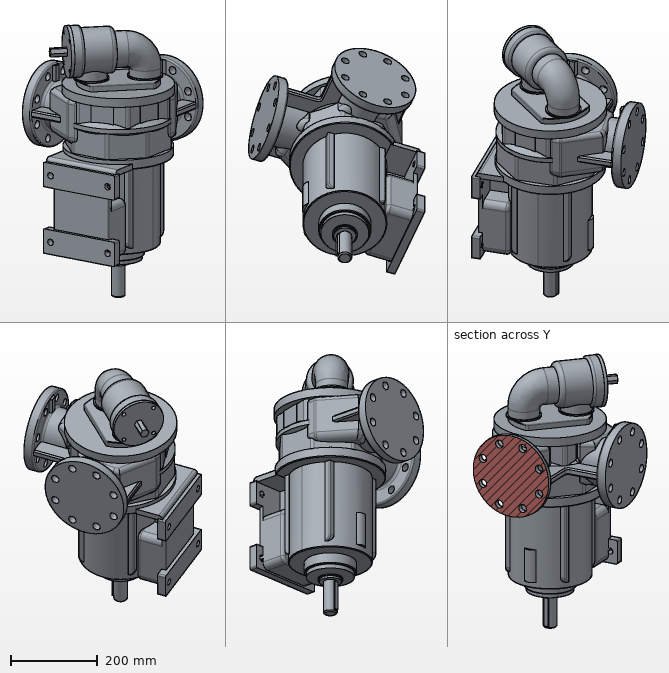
import cadquery as cq
import math


SHAFT_R = 16
SHAFT_END_Z = -431
SHAFT_CHAMFER = 3
KEY_WIDTH = 10
KEY_TOP_Y = 19.5
KEY_BOTTOM_Z = -425
KEY_LENGTH = 70
COLLAR_BOTTOM_Z = -351.5
COLLAR_R = 26
SLINGER_R = 29
SLINGER_BOTTOM_Z = -346.5
SLINGER_TOP_Z = -343.5
NECK_R = 21
GLAND_BOTTOM_Z = -340
GLAND_R = 55.5
HOUSING_BOTTOM_Z = -330
HOUSING_R = 60.5
HOUSING_CHAMFER = 2
BODY_BOTTOM_Z = -304
BODY_R = 97
BODY_CHAMFER = 2
BODY_TOP_Z = -91
RIB_FACE_X = 80
RIB_INNER_Y = 56
RIB_OUTER_Y = 71
RIB_BOTTOM_Z = -290
RIB_CORNER_R = 14
RIB_EDGE_R = 3
NAMEPLATE_R = 20
NAMEPLATE_FACE_Y = 103
NAMEPLATE_BOTTOM_Z = -289
NAMEPLATE_HEIGHT = 80

FOOT_LENGTH = 200
FOOT_HEIGHT = 59
FOOT_FACE_Y = -160
FOOT_BACK_Y = -140
FOOT_EDGE_R = 4
FOOT_CENTERS_Z = (-277, -117)
FOOT_HOLE_X = 80
FOOT_HOLE_D = 15
FOOT_WEB_WIDTH = 36
FOOT_WEB_FACE_Y = -151
BLOCK_WIDTH = 154
BLOCK_BACK_Y = -77
BLOCK_BOTTOM_Z = -302
BLOCK_TOP_Z = -166
BLOCK_EDGE_R = 16
BLOCK_BACK_R = 8
PANEL_EDGE_R = 2
SHELF_WIDTH = 194
SHELF_TOP_Z = -78
SHELF_THICKNESS = 13.5
SHELF_NOSE_R = 9.5

BASE_FLANGE_R = 128
BASE_FLANGE_TOP_Z = -68
BASE_FLANGE_CHAMFER = 2
CASING_CORNER_R = 126
CASING_EDGE_R = 12
LOWER_SIDES = 8
LOWER_TURN = 22.5
UPPER_SIDES = 6
UPPER_TURN = 15
UPPER_PAD_WIDTH = 55
UPPER_PAD_RISE = 2
RING_R = 126
RING_ROOT_R = 110
RING_HALF_RIM = 5.5
RING_HALF_ROOT = 16
COVER_R = 130
COVER_BOTTOM_Z = 60
COVER_TOP_Z = 81

NOZZLE_REACH = 200
FLANGE_R = 100
FLANGE_THICKNESS = 24
FLANGE_EDGE_R = 4
FLANGE_HOLES = 8
FLANGE_HOLE_D = 18.5
FLANGE_BOLT_CIRCLE_R = 80
PIPE_R = 58
PIPE_ROOT_R = 6
SELECT_MARGIN = 1
WEB_HALF_WIDTH = 97
WEB_THICKNESS = 17
WEB_CHAMFER = 3.5
WEB_CORNER_R = 8
LUG_BASE_WIDTH = 24
LUG_TIP_WIDTH = 12
LUG_DEPTH = 6
VOLUTE_MOUTH = (-150, -50)
VOLUTE_WALL_START = (-146, -65)
VOLUTE_WALL_END_X = -60
VOLUTE_NOSE_X = -34
VOLUTE_TANGENT_Y = -119
VOLUTE_BACK_X = -110
VOLUTE_BACK_MOUTH = (-140, 40)
VOLUTE_BOTTOM_Z = -50
VOLUTE_TOP_EDGE_R = 11
VOLUTE_BOTTOM_EDGE_R = 20
VOLUTE_CORNER_R = 8

VALVE_TURN = 45
VALVE_AXIS_Z = 162.3
SEAT_R = 97.5
SEAT_HALF_WIDTH = 63
SEAT_TOP_Z = 95
SEAT_CORNER_R = 8
SEAT_EDGE_R = 1.5
LEG_OFFSET = 63
LEG_R = 37
LEG_COLLAR_R = 41
LEG_COLLAR_HEIGHT = 3
ELBOW_BEND_R = 46
ELBOW_OUTLET_R = 42.5
BARREL_R = 54.5
BARREL_SHOULDER_R = 11.8
BARREL_START = -10
CAP_BACK = -88
CAP_FACE = -121
CAP_R = 61
CAP_EDGE_R = 6
CAP_PLATE_THICKNESS = 8
CAP_PLATE_STEP = 0.6
CAP_HOLE_D = 9
CAP_HOLE_DEPTH = 12
CAP_HOLE_SPACING = 73
STEM_SIDES = 6
STEM_END = -160
STEM_ACROSS_FLATS = 19


def disc(radius, bottom, top):
    """Vertical cylinder about Z between two heights."""
    return cq.Workplane("XY").workplane(offset=bottom).circle(radius).extrude(top - bottom)


def block(x_range, y_range, z_range):
    """Box between the given limits."""
    size = [high - low for low, high in (x_range, y_range, z_range)]
    corner = (x_range[0], y_range[0], z_range[0])
    return cq.Workplane("XY").box(*size, centered=False).translate(corner)


def rod(radius, start, end):
    """Cylinder on the valve axis between two positions along X."""
    plane = cq.Workplane("YZ", origin=(start, 0, VALVE_AXIS_Z))
    return plane.circle(radius).extrude(end - start)


def prism(sides, corner_r, turn, bottom, top):
    """Upright regular prism with rounded corners and its first corner at the given angle."""
    solid = cq.Workplane("XY").polygon(sides, 2 * corner_r).extrude(top - bottom)
    solid = solid.edges("|Z").fillet(CASING_EDGE_R)
    return solid.rotate((0, 0, 0), (0, 0, 1), turn).translate((0, 0, bottom))


def make_shaft_end():
    """Keyed shaft, slinger collar, gland and bearing housing."""
    shaft = disc(SHAFT_R, SHAFT_END_Z, BODY_BOTTOM_Z).faces("<Z").chamfer(SHAFT_CHAMFER)
    key = block(
        (-KEY_WIDTH / 2, KEY_WIDTH / 2),
        (0, KEY_TOP_Y),
        (KEY_BOTTOM_Z, KEY_BOTTOM_Z + KEY_LENGTH),
    )
    housing = disc(HOUSING_R, HOUSING_BOTTOM_Z, BODY_BOTTOM_Z).faces("<Z").chamfer(HOUSING_CHAMFER)
    return (
        shaft.union(key)
        .union(disc(COLLAR_R, COLLAR_BOTTOM_Z, SLINGER_BOTTOM_Z))
        .union(disc(SLINGER_R, SLINGER_BOTTOM_Z, SLINGER_TOP_Z))
        .union(disc(NECK_R, SLINGER_TOP_Z, GLAND_BOTTOM_Z))
        .union(disc(GLAND_R, GLAND_BOTTOM_Z, HOUSING_BOTTOM_Z))
        .union(housing)
    )


def make_body():
    """Round body with four upright ribs and a rounded nameplate boss."""
    body = disc(BODY_R, BODY_BOTTOM_Z, BODY_TOP_Z).faces("<Z").chamfer(BODY_CHAMFER)
    for side in (-1, 1):
        rib_y = sorted((side * RIB_INNER_Y, side * RIB_OUTER_Y))
        rib = block((-RIB_FACE_X, RIB_FACE_X), rib_y, (RIB_BOTTOM_Z, BODY_TOP_Z))
        outer_edge = "<Y" if side < 0 else ">Y"
        rib = rib.faces("<Z").edges(outer_edge).fillet(RIB_CORNER_R)
        rib = rib.edges("|Z").edges(outer_edge).fillet(RIB_EDGE_R)
        body = body.union(rib)
    nameplate = disc(NAMEPLATE_R, NAMEPLATE_BOTTOM_Z, NAMEPLATE_BOTTOM_Z + NAMEPLATE_HEIGHT)
    nameplate = nameplate.translate((0, NAMEPLATE_FACE_Y - NAMEPLATE_R, 0))
    return body.union(nameplate)


def make_feet():
    """Two drilled foot plates joined to the body by a block, a web and a top shelf."""
    half_block = BLOCK_WIDTH / 2
    half_web = FOOT_WEB_WIDTH / 2
    half_shelf = SHELF_WIDTH / 2
    half_foot = FOOT_LENGTH / 2
    lower = block(
        (-half_block, half_block), (FOOT_BACK_Y, BLOCK_BACK_Y), (BLOCK_BOTTOM_Z, BLOCK_TOP_Z)
    )
    lower = lower.edges("|Y").fillet(BLOCK_EDGE_R)
    lower = lower.faces(">Y").edges().fillet(BLOCK_BACK_R)
    panel = block(
        (-half_block, half_block), (FOOT_WEB_FACE_Y, FOOT_BACK_Y), FOOT_CENTERS_Z
    )
    panel = panel.edges("|Z and <Y").fillet(PANEL_EDGE_R)
    lower = lower.union(panel)
    web = block((-half_web, half_web), (FOOT_BACK_Y, 0), (BLOCK_BOTTOM_Z, BODY_TOP_Z))
    shelf = block(
        (-half_shelf, half_shelf),
        (FOOT_WEB_FACE_Y, BLOCK_BACK_Y),
        (SHELF_TOP_Z - SHELF_THICKNESS, SHELF_TOP_Z),
    )
    shelf = shelf.edges("|X and >Z and <Y").fillet(SHELF_NOSE_R)
    feet = lower.union(web).union(shelf)
    for center_z in FOOT_CENTERS_Z:
        plate = block(
            (-half_foot, half_foot),
            (FOOT_FACE_Y, FOOT_BACK_Y),
            (center_z - FOOT_HEIGHT / 2, center_z + FOOT_HEIGHT / 2),
        )
        plate = plate.edges("|Y").fillet(FOOT_EDGE_R)
        holes = (
            cq.Workplane("XZ", origin=(0, FOOT_BACK_Y, center_z))
            .pushPoints([(-FOOT_HOLE_X, 0), (FOOT_HOLE_X, 0)])
            .circle(FOOT_HOLE_D / 2)
            .extrude(FOOT_BACK_Y - FOOT_FACE_Y)
        )
        feet = feet.union(plate.cut(holes))
    return feet


def make_upper_casing():
    """Six-sided upper casing with a flat raised pad on every side."""
    casing = prism(UPPER_SIDES, CASING_CORNER_R, UPPER_TURN, 0, COVER_BOTTOM_Z)
    pad_reach = CASING_CORNER_R * math.cos(math.pi / UPPER_SIDES) + UPPER_PAD_RISE
    half_pad = UPPER_PAD_WIDTH / 2
    side_angle = 360 / UPPER_SIDES
    for side in range(UPPER_SIDES):
        pad = block((0, pad_reach), (-half_pad, half_pad), (0, COVER_BOTTOM_Z))
        angle = UPPER_TURN + (side + 0.5) * side_angle
        casing = casing.union(pad.rotate((0, 0, 0), (0, 0, 1), angle))
    return casing


def make_casing():
    """Base flange, lower and upper casing, middle ring and cover."""
    flange = disc(BASE_FLANGE_R, BODY_TOP_Z, BASE_FLANGE_TOP_Z)
    flange = flange.faces("<Z").chamfer(BASE_FLANGE_CHAMFER)
    ring = (
        cq.Workplane("XZ")
        .moveTo(0, -RING_HALF_ROOT)
        .lineTo(RING_ROOT_R, -RING_HALF_ROOT)
        .lineTo(RING_R, -RING_HALF_RIM)
        .lineTo(RING_R, RING_HALF_RIM)
        .lineTo(RING_ROOT_R, RING_HALF_ROOT)
        .lineTo(0, RING_HALF_ROOT)
        .close()
        .revolve(360, (0, 0, 0), (0, 1, 0))
    )
    lower = prism(LOWER_SIDES, CASING_CORNER_R, LOWER_TURN, BASE_FLANGE_TOP_Z, 0)
    return (
        flange.union(lower)
        .union(make_upper_casing())
        .union(ring)
        .union(disc(COVER_R, COVER_BOTTOM_Z, COVER_TOP_Z))
    )


def make_volute():
    """Bulged wall leading from the -X nozzle tangentially into the casing."""
    outline = [
        VOLUTE_MOUTH,
        VOLUTE_WALL_START,
        (VOLUTE_WALL_END_X, VOLUTE_TANGENT_Y),
        (VOLUTE_NOSE_X, VOLUTE_TANGENT_Y),
        (0, 0),
        (VOLUTE_BACK_X, PIPE_R),
        VOLUTE_BACK_MOUTH,
    ]
    volute = (
        cq.Workplane("XY")
        .workplane(offset=VOLUTE_BOTTOM_Z)
        .polyline(outline)
        .close()
        .extrude(COVER_BOTTOM_Z - VOLUTE_BOTTOM_Z)
    )
    volute = volute.edges("|Z").edges("<Y").fillet(VOLUTE_CORNER_R)
    volute = volute.faces("<Z").edges().fillet(VOLUTE_BOTTOM_EDGE_R)
    return volute.faces(">Z").edges().fillet(VOLUTE_TOP_EDGE_R)


def make_nozzle():
    """Drilled flange, pipe and volute of the -X nozzle, with the lug behind its rim."""
    flange_back = -NOZZLE_REACH + FLANGE_THICKNESS
    flange = cq.Workplane("YZ", origin=(-NOZZLE_REACH, 0, 0)).circle(FLANGE_R).extrude(FLANGE_THICKNESS)
    flange = flange.faces(">X").edges().fillet(FLANGE_EDGE_R)
    pipe = cq.Workplane("YZ", origin=(flange_back, 0, 0)).circle(PIPE_R).extrude(-flange_back)
    nozzle = flange.union(pipe)
    pipe_root = cq.selectors.BoxSelector(
        (flange_back - SELECT_MARGIN, -PIPE_R - SELECT_MARGIN, -PIPE_R - SELECT_MARGIN),
        (flange_back + SELECT_MARGIN, PIPE_R + SELECT_MARGIN, PIPE_R + SELECT_MARGIN),
        True,
    )
    nozzle = nozzle.edges(pipe_root).edges("%CIRCLE").fillet(PIPE_ROOT_R)
    lug = (
        cq.Workplane("XY")
        .polyline(
            [
                (flange_back, -LUG_BASE_WIDTH / 2),
                (flange_back + LUG_DEPTH, -LUG_TIP_WIDTH / 2),
                (flange_back + LUG_DEPTH, LUG_TIP_WIDTH / 2),
                (flange_back, LUG_BASE_WIDTH / 2),
            ]
        )
        .close()
        .extrude(FLANGE_R - FLANGE_EDGE_R)
    )
    holes = (
        cq.Workplane("YZ", origin=(-NOZZLE_REACH, 0, 0))
        .polarArray(FLANGE_BOLT_CIRCLE_R, 180 / FLANGE_HOLES, 360, FLANGE_HOLES)
        .circle(FLANGE_HOLE_D / 2)
        .extrude(FLANGE_THICKNESS)
    )
    return nozzle.union(lug).cut(holes).union(make_volute())


def make_webs():
    """Flat L-shaped web at Z = 0 stiffening both nozzles and the corner between them."""
    reach = NOZZLE_REACH - FLANGE_THICKNESS / 2
    w = WEB_HALF_WIDTH
    webs = (
        cq.Workplane("XY")
        .workplane(offset=-WEB_THICKNESS / 2)
        .polyline([(-reach, -w), (0, -w), (0, 0), (w, 0), (w, reach), (-w, reach), (-w, w), (-reach, w)])
        .close()
        .extrude(WEB_THICKNESS)
    )
    corner = cq.selectors.NearestToPointSelector((-w, w, 0))
    webs = webs.edges("|Z").edges(corner).fillet(WEB_CORNER_R)
    return webs.faces("<Z or >Z").edges().chamfer(WEB_CHAMFER)


def make_elbow():
    """Flaring quarter bend from the upright leg to the valve axis."""
    path = (
        cq.Workplane("XZ")
        .moveTo(LEG_OFFSET, VALVE_AXIS_Z - ELBOW_BEND_R)
        .radiusArc((LEG_OFFSET - ELBOW_BEND_R, VALVE_AXIS_Z), -ELBOW_BEND_R)
    )
    bend_start = cq.Plane(
        origin=(LEG_OFFSET, 0, VALVE_AXIS_Z - ELBOW_BEND_R), xDir=(0, 1, 0), normal=(0, 0, 1)
    )
    bend_end = cq.Plane(
        origin=(LEG_OFFSET - ELBOW_BEND_R, 0, VALVE_AXIS_Z), xDir=(0, 1, 0), normal=(-1, 0, 0)
    )
    inlet = cq.Workplane(bend_start).circle(LEG_R).wires().val()
    outlet = cq.Workplane(bend_end).circle(ELBOW_OUTLET_R).wires().val()
    return cq.Workplane(cq.Solid.sweep_multi([inlet, outlet], path.wire().val()))


def make_valve_cap():
    """Round end cap with four blind screw holes and a hexagonal adjusting stem."""
    cap = rod(CAP_R - CAP_PLATE_STEP, CAP_FACE, CAP_BACK).faces(">X").edges().fillet(CAP_EDGE_R)
    cap = cap.union(rod(CAP_R, CAP_FACE, CAP_FACE + CAP_PLATE_THICKNESS))
    face = cq.Workplane("YZ", origin=(CAP_FACE, 0, VALVE_AXIS_Z))
    holes = (
        face.rect(CAP_HOLE_SPACING, CAP_HOLE_SPACING, forConstruction=True)
        .vertices()
        .circle(CAP_HOLE_D / 2)
        .extrude(CAP_HOLE_DEPTH)
    )
    across_corners = STEM_ACROSS_FLATS / math.cos(math.pi / STEM_SIDES)
    stem = face.polygon(STEM_SIDES, across_corners).extrude(STEM_END - CAP_FACE)
    return cap.cut(holes).union(stem)


def make_relief_valve():
    """Seat pad, two legs, elbow, barrel and cap of the relief valve."""
    seat = disc(SEAT_R, COVER_TOP_Z, SEAT_TOP_Z).intersect(
        block((-SEAT_R, SEAT_R), (-SEAT_HALF_WIDTH, SEAT_HALF_WIDTH), (COVER_TOP_Z, SEAT_TOP_Z))
    )
    seat = seat.edges("|Z").fillet(SEAT_CORNER_R).faces(">Z").edges().fillet(SEAT_EDGE_R)
    collar = disc(LEG_COLLAR_R, SEAT_TOP_Z, SEAT_TOP_Z + LEG_COLLAR_HEIGHT)
    elbow_leg = disc(LEG_R, SEAT_TOP_Z, VALVE_AXIS_Z - ELBOW_BEND_R).union(collar)
    barrel_leg = disc(LEG_R, SEAT_TOP_Z, VALVE_AXIS_Z).union(collar)
    barrel = rod(BARREL_R, CAP_BACK, BARREL_START).faces(">X").edges().fillet(BARREL_SHOULDER_R)
    valve = (
        seat.union(elbow_leg.translate((LEG_OFFSET, 0, 0)))
        .union(barrel_leg.translate((-LEG_OFFSET, 0, 0)))
        .union(rod(ELBOW_OUTLET_R, BARREL_START, LEG_OFFSET - ELBOW_BEND_R))
        .union(make_elbow())
        .union(barrel)
        .union(make_valve_cap())
    )
    return valve.rotate((0, 0, 0), (0, 0, 1), VALVE_TURN)


inlet_nozzle = make_nozzle()
outlet_nozzle = inlet_nozzle.mirror(cq.Vector(1, 1, 0))

result = (
    make_shaft_end()
    .union(make_body())
    .union(make_feet())
    .union(make_casing())
    .union(make_webs())
    .union(inlet_nozzle)
    .union(outlet_nozzle)
    .union(make_relief_valve())
)